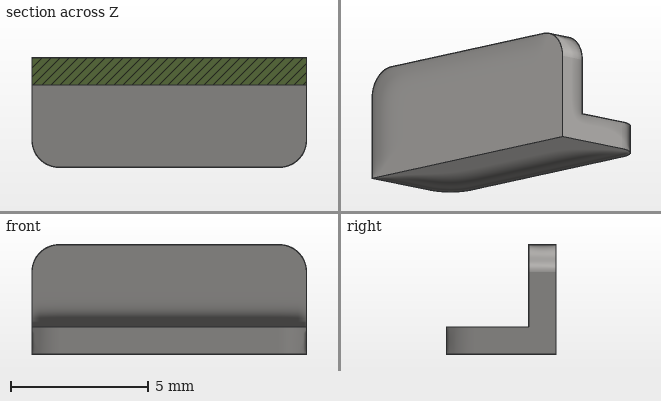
import cadquery as cq

length = 10.0
leg = 4.0
thickness = 1.0
corner_radius = 1.0

base = (
    cq.Workplane("XY")
    .box(length, leg, thickness, centered=(True, False, False))
    .edges("|Z and <Y")
    .fillet(corner_radius)
)

upright = (
    cq.Workplane("XY")
    .box(length, thickness, leg, centered=(True, False, False))
    .edges("|Y and >Z")
    .fillet(corner_radius)
    .translate((0, leg - thickness, 0))
)

result = base.union(upright).clean()